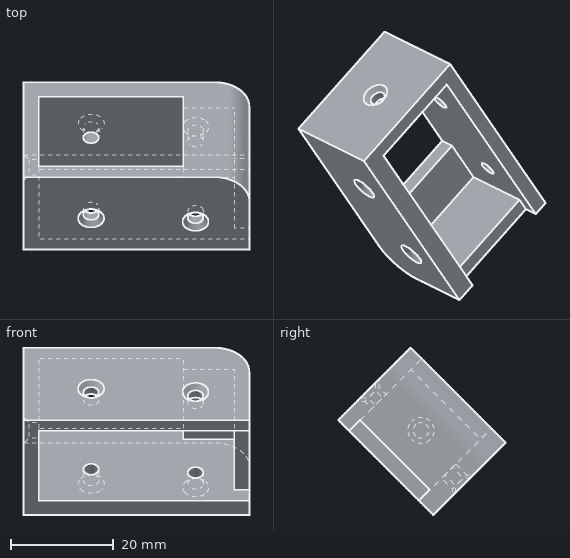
import cadquery as cq

length = 44.1
width = 26.25
height = 19.98
roll_angle = -45.0

wall = 3.0
thick_side_wall = 4.0
cap_start = 31.15
corner_radius = 6.8

hole_diameter = 3.0
countersink_diameter = 5.05
countersink_angle = 90.0
side_holes = [(13.2, 11.35), (33.55, 12.25)]
back_hole_y = -0.35

half_width = width / 2
half_height = height / 2
cavity_width = width - wall - thick_side_wall
cavity_center_y = (wall - thick_side_wall) / 2


def make_shell():
    """Block with one rounded corner edge at the upper front end."""
    block = cq.Workplane("XY").box(length, width, height, centered=(False, True, True))
    return block.edges(">X and >Z").fillet(corner_radius)


def make_cavity():
    """Space between the side walls, leaving the L-shaped corner cap solid."""
    profile = [
        (wall, -half_height),
        (length, -half_height),
        (length, wall - half_height),
        (length - wall, wall - half_height),
        (length - wall, half_height - wall),
        (cap_start, half_height - wall),
        (cap_start, half_height),
        (wall, half_height),
    ]
    cavity = cq.Workplane("XZ").polyline(profile).close().extrude(cavity_width / 2, both=True)
    return cavity.translate((0, cavity_center_y, 0))


def drill(body, origin, outward, depth):
    """Drill a countersunk hole inward from a point on an outer face."""
    face = cq.Plane(origin=origin, xDir=(0, 0, 1), normal=outward)
    return body.copyWorkplane(cq.Workplane(face)).cskHole(
        hole_diameter, countersink_diameter, countersink_angle, depth
    )


result = make_shell().cut(make_cavity())

for hole_x, drop in side_holes:
    hole_z = half_height - drop
    result = drill(result, (hole_x, -half_width, hole_z), (0, -1, 0), wall)
    result = drill(result, (hole_x, half_width, hole_z), (0, 1, 0), thick_side_wall)

result = drill(result, (0, back_hole_y, 0), (-1, 0, 0), wall)

result = result.rotate((0, 0, 0), (1, 0, 0), roll_angle)